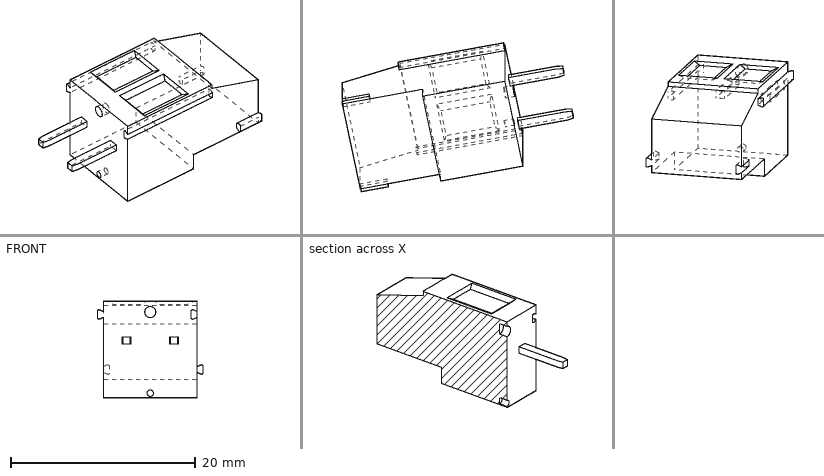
import cadquery as cq

body_width = 10.18
body_length = 18.0
body_height = 10.5
half_width = body_width / 2

foot_length = 9.1
foot_height = 1.97
deck_length = 11.62
deck_lip = 0.5
rear_drop = 2.5

dovetail_depth = 0.65
dovetail_root = 0.67
dovetail_tip = 1.2
dovetail_round = 0.17
upper_rail_z = body_height - 1.46
upper_rail_length = 11.7
lower_rail_z = 3.07
lower_rail_length = 2.98

pole_x = 2.57
pin_width = 1.0
pin_thickness = 0.8
pin_length = 6.0
pin_tip_length = 0.67
pin_tip_inset = 0.108
pin_z = body_height - 4.3

window_width = 4.37
window_length = 6.07
window_front_y = 2.55
window_depth = 0.35
window_side_inset = 0.7
window_end_inset = 0.34

upper_hole_diameter = 1.2
upper_hole_z = body_height - 1.2
lower_hole_diameter = 0.7
lower_hole_z = 0.5
hole_depth = 1.0


def housing():
    """Side profile extruded across the full width."""
    profile = [
        (0, 0),
        (foot_length, 0),
        (foot_length, foot_height),
        (body_length, foot_height),
        (body_length, body_height - rear_drop),
        (deck_length, body_height - deck_lip),
        (deck_length, body_height),
        (0, body_height),
    ]
    return cq.Workplane("YZ").polyline(profile).close().extrude(half_width, both=True)


def dovetail(wall_x, outward, z, y_start, length):
    """Bar that widens away from its root at wall_x; outward is the sign of its X direction."""
    tip_x = wall_x + outward * dovetail_depth
    profile = [
        (wall_x, z - dovetail_root / 2),
        (tip_x, z - dovetail_tip / 2),
        (tip_x, z + dovetail_tip / 2),
        (wall_x, z + dovetail_root / 2),
    ]
    bar = cq.Workplane("XZ", origin=(0, y_start, 0)).polyline(profile).close().extrude(-length)
    tip_face = ">X" if outward > 0 else "<X"
    return bar.faces(tip_face).edges("|Y").fillet(dovetail_round)


def pin(x):
    """Flat contact pin with its sides tapered at the free end."""
    tip_half = pin_width / 2 - pin_tip_inset
    shoulder_y = pin_tip_length - pin_length
    profile = [
        (x - pin_width / 2, 0),
        (x - pin_width / 2, shoulder_y),
        (x - tip_half, -pin_length),
        (x + tip_half, -pin_length),
        (x + pin_width / 2, shoulder_y),
        (x + pin_width / 2, 0),
    ]
    plane = cq.Workplane("XY", origin=(0, 0, pin_z))
    return plane.polyline(profile).close().extrude(pin_thickness / 2, both=True)


def window(x):
    """Shallow rectangular recess with four sloping walls."""
    centre_y = window_front_y + window_length / 2
    return (
        cq.Workplane("XY", origin=(x, centre_y, body_height))
        .rect(window_width, window_length)
        .workplane(offset=-window_depth)
        .rect(window_width - 2 * window_side_inset, window_length - 2 * window_end_inset)
        .loft(ruled=True)
    )


def front_hole(diameter, z):
    """Blind hole running back from the front face."""
    return cq.Workplane("XZ", origin=(0, 0, z)).circle(diameter / 2).extrude(-hole_depth)


result = housing()

lower_rail_y = body_length - lower_rail_length
result = result.union(dovetail(-half_width, -1, upper_rail_z, 0, upper_rail_length))
result = result.cut(dovetail(half_width, -1, upper_rail_z, 0, upper_rail_length))
result = result.union(dovetail(half_width, 1, lower_rail_z, lower_rail_y, lower_rail_length))
result = result.cut(dovetail(-half_width, 1, lower_rail_z, lower_rail_y, lower_rail_length))

for x in (-pole_x, pole_x):
    result = result.union(pin(x)).cut(window(x))

result = result.cut(front_hole(upper_hole_diameter, upper_hole_z))
result = result.cut(front_hole(lower_hole_diameter, lower_hole_z))